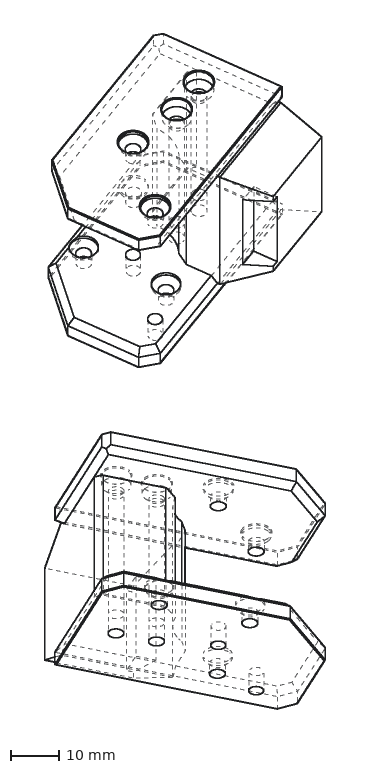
import cadquery as cq
import math

total_height = 39.7
plate_gap = 30.0
plate_thickness = (total_height - plate_gap) / 2
plate_right = 32.45
plate_length = 52.35
back_left_clip = 3.55
front_left_clip = 12.0
front_right_clip = 3.3
top_plate_left = 2.1
inner_chamfer = 1.5
outer_chamfer = 0.2

head_diameter = 6.1
screw_hole_diameter = 3.3
link_hole_diameter = 3.1
shallow_head_depth = 0.7
deep_head_depth = 2.55
column_screws = [(17.0, 44.4), (17.0, 35.45)]
link_screws = [(14.05, 22.9), (27.3, 9.8)]
grid_pitch = 20.0
grid_left = 4.1
grid_back = 39.5
grid_front = grid_back - grid_pitch
grid_screws = [(grid_left, grid_back), (grid_left, grid_front), (grid_left + grid_pitch, grid_front)]

column_left = 11.0
column_back = plate_length - inner_chamfer
column_front = 26.3
column_back_chamfer = 1.5
column_side_front = 35.55
column_end_chamfer = 0.2
relief_radius = 9.55
relief_end_x = 22.0
relief_foot_x = 24.9
nose_start = 33.05
nose_end = 43.0
nose_taper = (nose_end - nose_start) / 2
nose_bottom = plate_thickness - inner_chamfer
nose_top = total_height - nose_bottom

pocket_left = 37.3
pocket_height = 20.0
pocket_depth = 1.55


def plate_outline(left, back_corner):
    """Plate prism on Z = 0 with its left side at the given X, following the 45 degree front corner cut."""
    return (
        cq.Workplane("XY")
        .polyline([
            (left, front_left_clip - left),
            (front_left_clip, 0),
            (plate_right - front_right_clip, 0),
            (plate_right, front_right_clip),
            (plate_right, plate_length),
            *back_corner,
        ])
        .close()
        .extrude(plate_thickness)
    )


def back_clip(left):
    """Two ends of the 45 degree cut across the back left corner."""
    return [(back_left_clip, plate_length), (left, plate_length - back_left_clip + left)]


def bottom_plate_blank():
    """Lower plate without its holes, inner face up; the inner chamfer follows the whole outline."""
    plate = plate_outline(0, back_clip(0))
    return plate.faces(">Z").chamfer(inner_chamfer).faces("<Z").chamfer(outer_chamfer)


def top_plate_blank():
    """Upper plate without its holes, inner face down; the back left cut runs through its chamfer."""
    plate = plate_outline(top_plate_left, [(top_plate_left, plate_length)])
    plate = plate.faces(">Z").chamfer(inner_chamfer)
    plate = plate.intersect(plate_outline(top_plate_left, back_clip(top_plate_left)))
    plate = plate.faces("<Z").chamfer(outer_chamfer)
    return plate.mirror("XY").translate((0, 0, total_height))


def screw_cutter(position, face_z, head_depth, mouth_chamfer=0.0):
    """Screw hole entering downward at face_z: mouth chamfer, head bore, 45 degree cone, through hole."""
    head_radius = head_diameter / 2
    hole_radius = screw_hole_diameter / 2
    cone_top = face_z - head_depth
    cone_bottom = cone_top - (head_radius - hole_radius)
    hole_end = face_z - plate_thickness
    mouth = [(head_radius, face_z)]
    if mouth_chamfer > 0:
        mouth = [(head_radius + mouth_chamfer, face_z), (head_radius, face_z - mouth_chamfer)]
    profile = [
        (0, face_z),
        *mouth,
        (head_radius, cone_top),
        (hole_radius, cone_bottom),
        (hole_radius, hole_end),
        (0, hole_end),
    ]
    cutter = cq.Workplane("XZ").polyline(profile).close().revolve(360, (0, 0), (0, 1))
    return cutter.translate((*position, 0))


def through_holes(positions, diameter):
    """Plain cylinders over the full height."""
    return cq.Workplane("XY").pushPoints(positions).circle(diameter / 2).extrude(total_height)


def make_bottom_plate():
    plate = bottom_plate_blank()
    for position in grid_screws:
        plate = plate.cut(screw_cutter(position, plate_thickness, shallow_head_depth))
    plate = plate.cut(through_holes(column_screws, screw_hole_diameter))
    return plate.cut(through_holes(link_screws, link_hole_diameter))


def make_top_plate():
    plate = top_plate_blank()
    for position in column_screws:
        plate = plate.cut(screw_cutter(position, total_height, deep_head_depth, outer_chamfer))
    link_head_depth = shallow_head_depth + outer_chamfer
    for position in link_screws:
        plate = plate.cut(screw_cutter(position, total_height, link_head_depth, outer_chamfer))
    return plate


def make_column():
    relief_x, relief_y = link_screws[0]
    relief_start = (relief_x, relief_y + relief_radius)
    end_angle = math.acos((relief_end_x - relief_x) / relief_radius)
    mid_angle = (end_angle + math.pi / 2) / 2
    on_relief = [
        (relief_x + relief_radius * math.cos(angle), relief_y + relief_radius * math.sin(angle))
        for angle in (mid_angle, end_angle)
    ]
    column = (
        cq.Workplane("XY", origin=(0, 0, nose_bottom))
        .moveTo(column_left + column_back_chamfer, column_back)
        .lineTo(column_left, column_back - column_back_chamfer)
        .lineTo(column_left, column_side_front)
        .lineTo(*relief_start)
        .threePointArc(*on_relief)
        .lineTo(relief_foot_x, column_front)
        .lineTo(nose_start, column_front)
        .lineTo(nose_end, column_front + nose_taper)
        .lineTo(nose_end, column_back)
        .close()
        .extrude(nose_top - nose_bottom)
    )
    side_outline = (
        cq.Workplane("XZ")
        .polyline([
            (0, nose_bottom),
            (nose_start, nose_bottom),
            (nose_end, nose_bottom + nose_taper),
            (nose_end, nose_top - nose_taper),
            (nose_start, nose_top),
            (0, nose_top),
        ])
        .close()
        .extrude(-plate_length)
    )
    pocket = cq.Workplane("XY").box(
        nose_end - pocket_left, nose_taper + pocket_depth, pocket_height, centered=(False, False, True)
    ).translate((pocket_left, column_front, total_height / 2))
    column = column.intersect(side_outline).cut(pocket)
    column = column.cut(bottom_plate_blank()).cut(top_plate_blank())
    column = column.faces("<X").edges("|Y").chamfer(column_end_chamfer)
    return column.cut(through_holes(column_screws, screw_hole_diameter))


bottom_plate = make_bottom_plate()
top_plate = make_top_plate()
column = make_column()

result = cq.Compound.makeCompound([bottom_plate.val(), top_plate.val(), column.val()])